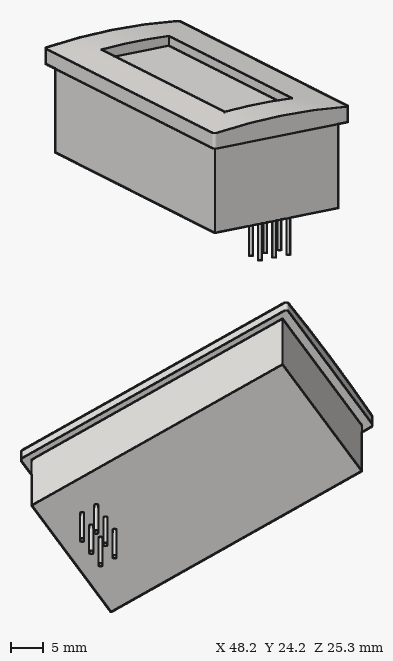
import cadquery as cq

BEZEL_LENGTH = 48.2
BEZEL_WIDTH = 24.2
BEZEL_HEIGHT = 3.2
CROWN_RISE = 0.7
CORNER_RADIUS = 0.5

WINDOW_LENGTH = 35.0
WINDOW_WIDTH = 12.1
WINDOW_DEPTH = 1.75

HOUSING_LENGTH = 45.3
HOUSING_WIDTH = 22.15
HOUSING_HEIGHT = 14.05

PIN_DIAMETER = 0.65
PIN_LENGTH = 8.0
PIN_PITCH = 2.55
PIN_COLUMNS = 2
PIN_ROWS = 3
FIRST_PIN_X = 14.45
FIRST_PIN_Y = 0.6


def make_bezel():
    """Extrude the crowned end profile along X, then round the upright corners."""
    half_width = BEZEL_WIDTH / 2
    edge_height = BEZEL_HEIGHT - CROWN_RISE
    return (
        cq.Workplane("YZ", origin=(-BEZEL_LENGTH / 2, 0, 0))
        .moveTo(-half_width, 0)
        .lineTo(half_width, 0)
        .lineTo(half_width, edge_height)
        .threePointArc((0, BEZEL_HEIGHT), (-half_width, edge_height))
        .close()
        .extrude(BEZEL_LENGTH)
        .edges("|Z")
        .fillet(CORNER_RADIUS)
    )


def make_window():
    """Block removed from the bezel, leaving a flat window floor."""
    floor_height = BEZEL_HEIGHT - WINDOW_DEPTH
    floor = cq.Workplane("XY", origin=(0, 0, floor_height))
    return floor.rect(WINDOW_LENGTH, WINDOW_WIDTH).extrude(WINDOW_DEPTH)


def make_housing():
    return cq.Workplane("XY").rect(HOUSING_LENGTH, HOUSING_WIDTH).extrude(-HOUSING_HEIGHT)


def make_pins():
    """Grid of round pins hanging from the underside of the housing."""
    positions = [
        (FIRST_PIN_X + column * PIN_PITCH, FIRST_PIN_Y + row * PIN_PITCH)
        for column in range(PIN_COLUMNS)
        for row in range(PIN_ROWS)
    ]
    return (
        cq.Workplane("XY", origin=(0, 0, -HOUSING_HEIGHT))
        .pushPoints(positions)
        .circle(PIN_DIAMETER / 2)
        .extrude(-PIN_LENGTH)
    )


result = make_bezel().cut(make_window()).union(make_housing()).union(make_pins())